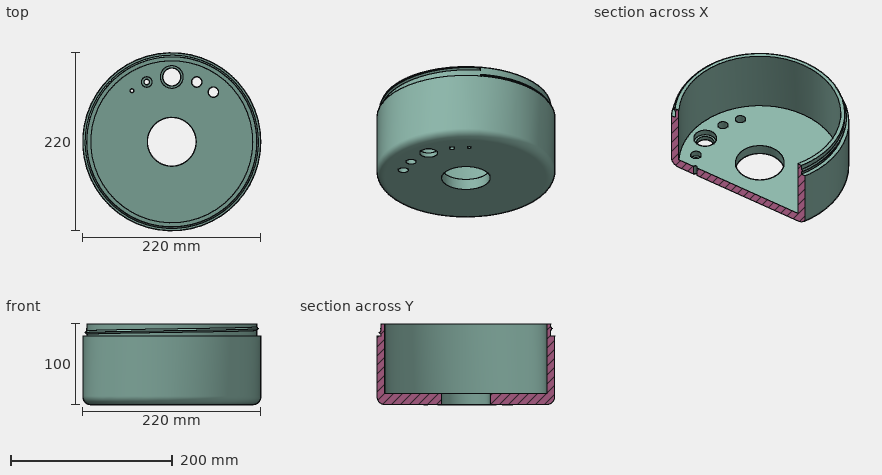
import cadquery as cq
import math

height = 100
body_radius = 110
neck_radius = 105
bore_radius = 100
neck_height = 15
floor_thickness = 14
bottom_fillet = 10

thread_pitch = 10
thread_turns = 1
thread_depth = 2
thread_half_width = 2.2
thread_root_overlap = 0.5
thread_start_angle = 135
thread_start_z = height - thread_half_width - thread_pitch * thread_turns

center_hole_diameter = 60
bolt_circle_radius = 80
main_port_diameter = 22
main_port_counterbore = 28
main_port_angle = 0
side_hole_diameter = 12.5
side_hole_angles = (22.7, 40)
stepped_hole_diameter = 6.5
stepped_hole_counterbore = 13
stepped_hole_angle = -22.7
small_hole_diameter = 4.5
small_hole_angle = -38
counterbore_depth = 8


def make_cup():
    """Rounded-bottom cup with a narrower neck at the rim."""
    shoulder_z = height - neck_height
    outer = cq.Workplane("XY").circle(body_radius).extrude(shoulder_z)
    outer = outer.faces("<Z").edges().fillet(bottom_fillet)
    neck = cq.Workplane("XY", origin=(0, 0, shoulder_z)).circle(neck_radius).extrude(neck_height)
    bore_depth = height - floor_thickness
    bore = cq.Workplane("XY", origin=(0, 0, floor_thickness)).circle(bore_radius).extrude(bore_depth)
    return outer.union(neck).cut(bore)


def make_thread():
    """V-shaped ridge swept along a helix, its root sunk slightly into the neck."""
    root_radius = neck_radius - thread_root_overlap
    crest_radius = neck_radius + thread_depth
    path = cq.Wire.makeHelix(thread_pitch, thread_pitch * thread_turns, neck_radius)
    ridge = (
        cq.Workplane("XZ")
        .moveTo(root_radius, -thread_half_width)
        .lineTo(neck_radius, -thread_half_width)
        .lineTo(crest_radius, 0)
        .lineTo(neck_radius, thread_half_width)
        .lineTo(root_radius, thread_half_width)
        .close()
        .sweep(cq.Workplane(obj=path), isFrenet=True)
    )
    ridge = ridge.rotate((0, 0, 0), (0, 0, 1), thread_start_angle)
    ridge = ridge.translate((0, 0, thread_start_z))

    notch = cq.Workplane("XY").box(body_radius, body_radius, height, centered=(False, False, False))
    corner_x = neck_radius * math.cos(math.radians(thread_start_angle))
    corner_y = neck_radius * math.sin(math.radians(thread_start_angle))
    return ridge.cut(notch.translate((corner_x - body_radius, corner_y, 0)))


def floor_hole(part, angle, diameter, counterbore=None):
    """Through hole on the bolt circle, optionally counterbored from inside the cup."""
    x = bolt_circle_radius * math.sin(math.radians(angle))
    y = bolt_circle_radius * math.cos(math.radians(angle))
    plane = cq.Workplane("XY", origin=(x, y, 0))
    part = part.cut(plane.circle(diameter / 2).extrude(floor_thickness))
    if counterbore:
        seat = plane.workplane(offset=floor_thickness - counterbore_depth)
        part = part.cut(seat.circle(counterbore / 2).extrude(counterbore_depth))
    return part


def add_floor_holes(part):
    """Central opening and the arc of ports along the +Y side of the floor."""
    part = part.cut(cq.Workplane("XY").circle(center_hole_diameter / 2).extrude(floor_thickness))
    part = floor_hole(part, main_port_angle, main_port_diameter, main_port_counterbore)
    part = floor_hole(part, stepped_hole_angle, stepped_hole_diameter, stepped_hole_counterbore)
    part = floor_hole(part, small_hole_angle, small_hole_diameter)
    for angle in side_hole_angles:
        part = floor_hole(part, angle, side_hole_diameter)
    return part


result = add_floor_holes(make_cup().union(make_thread()))